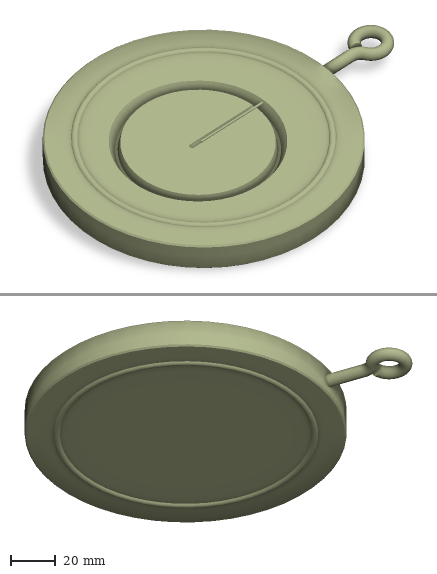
import cadquery as cq
import math

body_diameter = 144.0
overall_height = 15.7
seal_rise = 1.0
body_height = overall_height - 2 * seal_rise
body_chamfer = 0.7
top_z = body_height / 2

seal_path_diameter = 115.6
seal_thickness = 3.7

recess_y = -3.5
recess_top_diameter = 79.9
recess_floor_diameter = 74.4
recess_depth = 5.2
floor_z = top_z - recess_depth

flap_top_diameter = 69.5
flap_base_diameter = 72.0
flap_drop = 0.7
flap_z = top_z - flap_drop

rod_diameter = 1.2
rod_end_y = -1.3
rod_sink = 0.1
rod_anchor_length = 1.8
channel_width = 2.5
channel_end_y = -7.5
channel_tip_length = 0.7
channel_tip_width = 1.5

overall_length = 185
bar_diameter = 6.0
eye_outer_diameter = 20.9
stem_end_y = 89.7
stem_embed = 3.7
eye_end_angle = math.radians(254)
eye_radius = (eye_outer_diameter - bar_diameter) / 2
eye_y = overall_length - body_diameter / 2 - eye_outer_diameter / 2


def cone(bottom_diameter, top_diameter, bottom_z, height):
    """Solid frustum on the recess axis."""
    base = cq.Vector(0, recess_y, bottom_z)
    return cq.Workplane(cq.Solid.makeCone(bottom_diameter / 2, top_diameter / 2, height, base))


def rod_along_y(diameter, start_y, end_y, z):
    """Round rod parallel to Y in the plane X = 0."""
    start = cq.Vector(0, start_y, z)
    return cq.Workplane(cq.Solid.makeCylinder(diameter / 2, end_y - start_y, start, cq.Vector(0, 1, 0)))


def make_body():
    body = cq.Workplane("XY", origin=(0, 0, -top_z)).circle(body_diameter / 2).extrude(body_height)
    body = body.edges().chamfer(body_chamfer)
    seal_z = top_z + seal_rise - seal_thickness / 2
    for z in (seal_z, -seal_z):
        seal = cq.Solid.makeTorus(seal_path_diameter / 2, seal_thickness / 2, cq.Vector(0, 0, z))
        body = body.union(cq.Workplane(seal))
    return body.cut(cone(recess_floor_diameter, recess_top_diameter, floor_z, recess_depth))


def make_flap():
    flap = cone(flap_base_diameter, flap_top_diameter, floor_z, flap_z - floor_z)
    channel_start_y = recess_y + recess_floor_diameter / 2
    channel = rod_along_y(channel_width, channel_end_y, channel_start_y, flap_z)
    channel_tip = cq.Solid.makeCone(
        channel_width / 2,
        channel_tip_width / 2,
        channel_tip_length,
        cq.Vector(0, channel_end_y, flap_z),
        cq.Vector(0, -1, 0),
    )
    return flap.cut(channel).cut(cq.Workplane(channel_tip))


def make_spring_rod():
    rod_z = flap_z - (channel_width - rod_diameter) / 2 - rod_sink
    anchor_y = recess_y + recess_top_diameter / 2 + rod_anchor_length
    rod = rod_along_y(rod_diameter, rod_end_y, anchor_y, rod_z)
    ball_end = cq.Workplane("XY", origin=(0, rod_end_y, rod_z)).sphere(rod_diameter / 2)
    return rod.union(ball_end)


def make_eye_bolt():
    rise = eye_y - stem_end_y
    bend_radius = (rise**2 - eye_radius**2) / (2 * eye_radius)
    bend_angle = math.atan2(rise, bend_radius)
    middle_x = bend_radius * (1 - math.cos(bend_angle / 2))
    middle_y = stem_end_y + bend_radius * math.sin(bend_angle / 2)

    def on_eye(angle):
        return (eye_radius * math.cos(angle), eye_y + eye_radius * math.sin(angle))

    stem_start_y = body_diameter / 2 - stem_embed
    path = (
        cq.Workplane("XY")
        .moveTo(0, stem_start_y)
        .lineTo(0, stem_end_y)
        .threePointArc((middle_x, middle_y), on_eye(-bend_angle))
        .threePointArc(on_eye((eye_end_angle - bend_angle) / 2), on_eye(eye_end_angle))
    )
    section_plane = cq.Plane(origin=(0, stem_start_y, 0), xDir=(1, 0, 0), normal=(0, 1, 0))
    return cq.Workplane(section_plane).circle(bar_diameter / 2).sweep(path)


result = make_body().union(make_flap()).union(make_spring_rod()).union(make_eye_bolt())